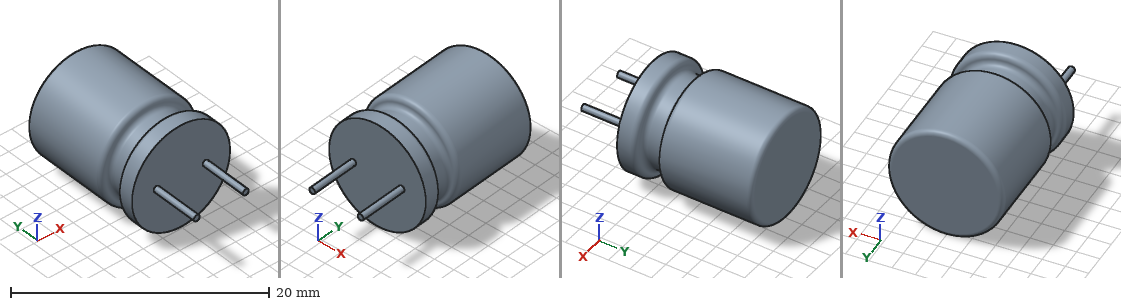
import cadquery as cq

total_length = 17.3
can_diameter = 10.02
can_length = 12.5
top_fillet = 0.43

rim_height = 1.25
bend_radius = 0.5
groove_flat = 0.97

lead_diameter = 0.6
lead_pitch = 5.0
lead_length = total_length - can_length

can_radius = can_diameter / 2
bend_middle = can_radius - bend_radius
groove_radius = can_radius - 2 * bend_radius
groove_floor_start = rim_height + 2 * bend_radius
groove_floor_end = groove_floor_start + groove_flat
groove_end = groove_floor_end + 2 * bend_radius


def make_can():
    """Revolve the half profile (radius along X) around the Y axis."""
    profile = (
        cq.Workplane("XY")
        .lineTo(can_radius, 0)
        .lineTo(can_radius, rim_height)
        .radiusArc((bend_middle, rim_height + bend_radius), -bend_radius)
        .radiusArc((groove_radius, groove_floor_start), bend_radius)
        .lineTo(groove_radius, groove_floor_end)
        .radiusArc((bend_middle, groove_floor_end + bend_radius), bend_radius)
        .radiusArc((can_radius, groove_end), -bend_radius)
        .lineTo(can_radius, can_length - top_fillet)
        .radiusArc((can_radius - top_fillet, can_length), -top_fillet)
        .lineTo(0, can_length)
        .close()
    )
    return profile.revolve(360, (0, 0), (0, 1))


def make_leads():
    """Two round leads standing on the base face; the XZ normal is -Y."""
    return (
        cq.Workplane("XZ")
        .pushPoints([(-lead_pitch / 2, 0), (lead_pitch / 2, 0)])
        .circle(lead_diameter / 2)
        .extrude(lead_length)
    )


result = make_can().union(make_leads())